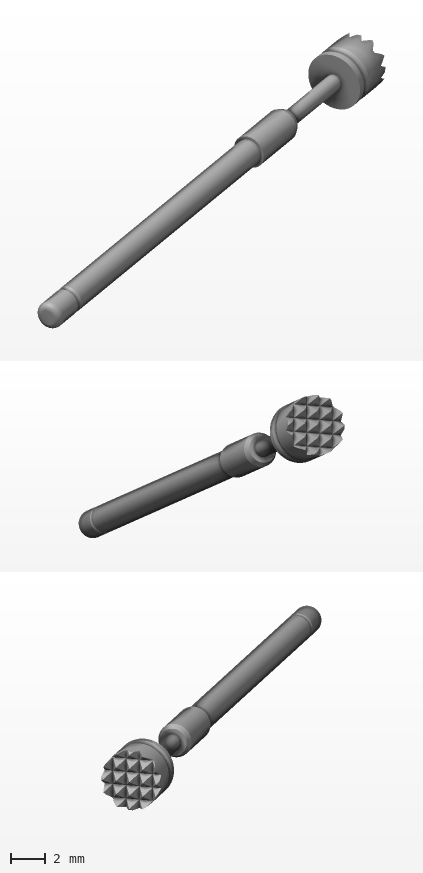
import cadquery as cq
import math


TOTAL_LENGTH = 34.3
HEAD_LENGTH = 3.0
ROD_LENGTH = 5.3
COLLAR_LENGTH = 4.0
TAIL_LENGTH = 2.0

HEAD_RADIUS = 1.75
ROD_RADIUS = 0.5
COLLAR_RADIUS = 1.0
BARREL_RADIUS = 0.825

COLLAR_CHAMFER_LENGTH = 0.4
COLLAR_CHAMFER_DEPTH = 0.18
TAIL_ROUND = 0.38

HEAD_GROOVE_CENTRE = 0.7
HEAD_GROOVE_WIDTH = 0.6
HEAD_GROOVE_DEPTH = 0.12

TAIL_GROOVE_WIDTH = 0.4
TAIL_GROOVE_DEPTH = 0.15

TOOTH_PITCH = 0.8
TOOTH_ANGLE = 60.0
TOOTH_DEPTH = TOOTH_PITCH / 2 / math.tan(math.radians(TOOTH_ANGLE / 2))
TOOTH_CUTS = 6
CUT_OVERSHOOT = 0.2

HEAD_BASE = TOTAL_LENGTH - HEAD_LENGTH
COLLAR_TOP = HEAD_BASE - ROD_LENGTH
COLLAR_BASE = COLLAR_TOP - COLLAR_LENGTH
HEAD_GROOVE_Y = HEAD_BASE + HEAD_GROOVE_CENTRE


def turned_body():
    """Half profile of the whole probe, revolved about the Y axis."""
    head_groove_half = HEAD_GROOVE_WIDTH / 2
    arc_offset = TAIL_ROUND * math.sin(math.radians(45))
    profile = (
        cq.Workplane("XY")
        .lineTo(BARREL_RADIUS - TAIL_ROUND, 0)
        .threePointArc(
            (BARREL_RADIUS - TAIL_ROUND + arc_offset, TAIL_ROUND - arc_offset),
            (BARREL_RADIUS, TAIL_ROUND),
        )
        .lineTo(BARREL_RADIUS, TAIL_LENGTH)
        .lineTo(BARREL_RADIUS - TAIL_GROOVE_DEPTH, TAIL_LENGTH + TAIL_GROOVE_WIDTH / 2)
        .lineTo(BARREL_RADIUS, TAIL_LENGTH + TAIL_GROOVE_WIDTH)
        .lineTo(BARREL_RADIUS, COLLAR_BASE)
        .lineTo(COLLAR_RADIUS, COLLAR_BASE)
        .lineTo(COLLAR_RADIUS, COLLAR_TOP - COLLAR_CHAMFER_LENGTH)
        .lineTo(COLLAR_RADIUS - COLLAR_CHAMFER_DEPTH, COLLAR_TOP)
        .lineTo(ROD_RADIUS, COLLAR_TOP)
        .lineTo(ROD_RADIUS, HEAD_BASE)
        .lineTo(HEAD_RADIUS, HEAD_BASE)
        .lineTo(HEAD_RADIUS, HEAD_GROOVE_Y - head_groove_half)
        .lineTo(HEAD_RADIUS - HEAD_GROOVE_DEPTH, HEAD_GROOVE_Y)
        .lineTo(HEAD_RADIUS, HEAD_GROOVE_Y + head_groove_half)
        .lineTo(HEAD_RADIUS, TOTAL_LENGTH)
        .lineTo(0, TOTAL_LENGTH)
        .close()
    )
    return profile.revolve(360, (0, 0, 0), (0, 1, 0))


def tooth_cutter():
    """Row of V grooves along Z, leaving a ridge on the axis and every pitch beside it."""
    half_pitch = TOOTH_PITCH / 2
    first_edge = -TOOTH_CUTS * half_pitch
    top = TOTAL_LENGTH + CUT_OVERSHOOT
    outline = cq.Workplane("XY").moveTo(first_edge, top).lineTo(first_edge, TOTAL_LENGTH)
    for cut in range(TOOTH_CUTS):
        edge = first_edge + cut * TOOTH_PITCH
        outline = outline.lineTo(edge + half_pitch, TOTAL_LENGTH - TOOTH_DEPTH)
        outline = outline.lineTo(edge + TOOTH_PITCH, TOTAL_LENGTH)
    outline = outline.lineTo(-first_edge, top).close()
    return outline.extrude(2 * HEAD_RADIUS, both=True)


def cut_teeth(body):
    """Cross the V grooves in X and Z so that pyramid points remain."""
    cutter = tooth_cutter()
    crossed_cutter = cutter.rotate((0, 0, 0), (0, 1, 0), 90)
    return body.cut(cutter).cut(crossed_cutter)


result = cut_teeth(turned_body())